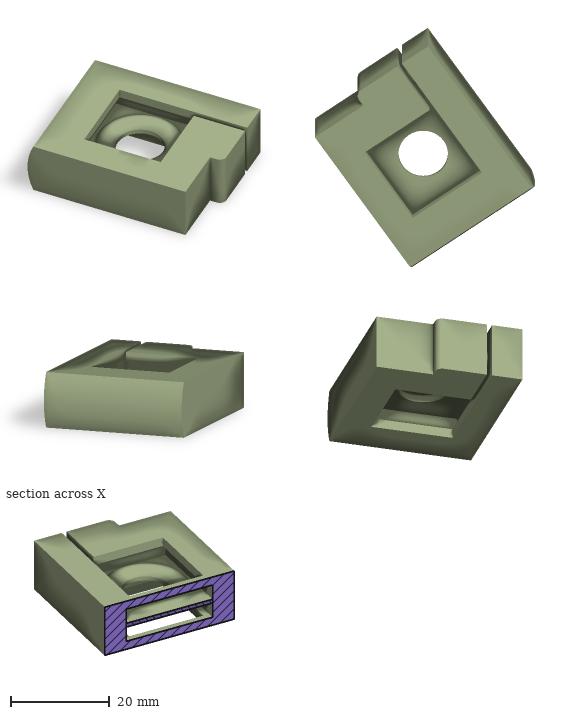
import cadquery as cq
import math

LENGTH = 38.3
DEPTH = 30.0
HEIGHT = 11.5
BULGE = 1.3
STEP_X = 35.3
LUG_FRONT_Y = 11.95
LUG_CORNER_RADIUS = 1.5

WINDOW_SIZE = 17.12
WINDOW_LEFT = 9.73
WINDOW_X = WINDOW_LEFT + WINDOW_SIZE / 2
WINDOW_Y = DEPTH / 2
WINDOW_BACK_Y = WINDOW_Y + WINDOW_SIZE / 2

LIP_THICKNESS = 2.0
GROOVE_SIZE = 19.9
GROOVE_HEIGHT = HEIGHT - 2 * LIP_THICKNESS

GAP_WIDTH = 1.1
GAP_FRONT_Y = WINDOW_BACK_Y - GAP_WIDTH

PLATE_THICKNESS = 1.0
EYE_RADIUS = 5.0
RIM_CENTRE_RADIUS = 7.15
RIM_ROUND_RADIUS = 2.35
RIM_FOOT_RADIUS = 9.9

PIN_DIAMETER = 4.0
PIN_X = STEP_X - PIN_DIAMETER / 2
PIN_EMBED = 3.05
PIN_LENGTH = GAP_WIDTH + 2 * PIN_EMBED


def make_pin():
    """Plain cylinder along Y, bridging the gap at mid height."""
    start = cq.Workplane("XZ", origin=(PIN_X, GAP_FRONT_Y - PIN_EMBED, 0))
    return start.circle(PIN_DIAMETER / 2).extrude(-PIN_LENGTH)


def make_block():
    """Solid outline of the housing: bulged left side and stepped right side."""
    side = (
        cq.Workplane("XZ")
        .moveTo(BULGE, -HEIGHT / 2)
        .lineTo(LENGTH, -HEIGHT / 2)
        .lineTo(LENGTH, HEIGHT / 2)
        .lineTo(BULGE, HEIGHT / 2)
        .threePointArc((0, 0), (BULGE, -HEIGHT / 2))
        .close()
        .extrude(-DEPTH)
    )
    step = cq.Workplane().box(LENGTH - STEP_X, LUG_FRONT_Y, HEIGHT, centered=(False, False, True))
    block = side.cut(step.translate((STEP_X, 0, 0)))
    lug_corner = cq.selectors.NearestToPointSelector((LENGTH, LUG_FRONT_Y, 0))
    return block.edges("|Z").edges(lug_corner).fillet(LUG_CORNER_RADIUS)


def make_housing(pin):
    """Block with the window, its groove, the clamping gap and the pin holes."""
    window = cq.Workplane().box(WINDOW_SIZE, WINDOW_SIZE, HEIGHT)
    groove = cq.Workplane().box(GROOVE_SIZE, GROOVE_SIZE, GROOVE_HEIGHT)
    gap = cq.Workplane().box(LENGTH - WINDOW_X, GAP_WIDTH, HEIGHT, centered=(False, False, True))
    housing = make_block()
    for pocket in (window, groove):
        housing = housing.cut(pocket.translate((WINDOW_X, WINDOW_Y, 0)))
    return housing.cut(gap.translate((WINDOW_X, GAP_FRONT_Y, 0))).cut(pin)


def make_rim():
    """Round-topped ring on the plate, starting at the eye edge and ending in a concave fillet."""
    face_z = PLATE_THICKNESS / 2
    inner_reach = RIM_CENTRE_RADIUS - EYE_RADIUS
    centre_depth = math.sqrt(RIM_ROUND_RADIUS ** 2 - inner_reach ** 2)
    centre_z = face_z - centre_depth
    crest = (RIM_CENTRE_RADIUS, centre_z + RIM_ROUND_RADIUS)

    foot_reach = RIM_FOOT_RADIUS - RIM_CENTRE_RADIUS
    fillet = (foot_reach ** 2 + centre_depth ** 2 - RIM_ROUND_RADIUS ** 2) / (
        2 * (RIM_ROUND_RADIUS - centre_depth)
    )
    touch_share = RIM_ROUND_RADIUS / (RIM_ROUND_RADIUS + fillet)
    touch = (
        RIM_CENTRE_RADIUS + foot_reach * touch_share,
        centre_z + (centre_depth + fillet) * touch_share,
    )
    profile = (
        cq.Workplane("XZ")
        .moveTo(EYE_RADIUS, -face_z)
        .lineTo(EYE_RADIUS, face_z)
        .threePointArc(crest, touch)
        .radiusArc((RIM_FOOT_RADIUS, face_z), -fillet)
        .lineTo(RIM_FOOT_RADIUS, -face_z)
        .close()
    )
    return profile.revolve(360, (0, 0, 0), (0, 1, 0))


def make_eyelet():
    """Square plate held in the groove, with the round eye through its rim."""
    plate = cq.Workplane().box(GROOVE_SIZE, GROOVE_SIZE, PLATE_THICKNESS)
    eyelet = plate.faces(">Z").workplane().hole(2 * EYE_RADIUS).union(make_rim())
    return eyelet.translate((WINDOW_X, WINDOW_Y, 0))


pin = make_pin()
housing = make_housing(pin)
eyelet = make_eyelet()

result = cq.Compound.makeCompound([housing.val(), eyelet.val(), pin.val()])